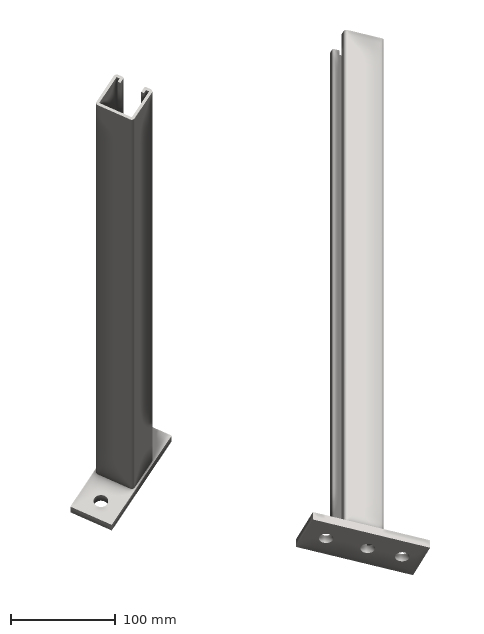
import cadquery as cq

total_height = 608.0

plate_width = 45.0
plate_length = 120.0
plate_thickness = 9.0
hole_diameter = 14.0
hole_positions_y = [-40.0, -5.0, 38.0]

channel_width = 41.5
channel_depth = 41.0
channel_back_y = -14.0
wall = 3.0
lip_opening = 22.5
lip_depth = 7.0
bend_outer_radius = 3.0
lip_bend_radius = 2.0


def make_base_plate():
    """Flat rectangular plate with a row of through holes along Y."""
    plate = cq.Workplane("XY").box(
        plate_width, plate_length, plate_thickness, centered=(True, True, False)
    )
    holes = (
        cq.Workplane("XY")
        .pushPoints([(0, y) for y in hole_positions_y])
        .circle(hole_diameter / 2)
        .extrude(plate_thickness)
    )
    return plate.cut(holes)


def make_box(width, depth, back_y, height):
    """Upright box centred in X, with its back face at back_y and its foot on the plate."""
    return (
        cq.Workplane("XY", origin=(0, back_y + depth / 2, plate_thickness))
        .rect(width, depth)
        .extrude(height)
    )


def make_channel():
    """Constant-section lipped channel standing on the plate."""
    height = total_height - plate_thickness
    outer = make_box(channel_width, channel_depth, channel_back_y, height)
    outer = outer.edges("|Z").fillet(bend_outer_radius)

    inner_back_y = channel_back_y + wall
    inner_depth = channel_depth - 2 * wall
    cavity = make_box(channel_width - 2 * wall, inner_depth, inner_back_y, height)

    lip_end_y = channel_back_y + channel_depth - lip_depth
    lips = make_box(lip_opening + 2 * wall, lip_depth, lip_end_y, height)
    cavity = cavity.cut(lips)
    opening = make_box(lip_opening, lip_depth, lip_end_y, height)
    channel = outer.cut(cavity).cut(opening)

    front_y = channel_back_y + channel_depth
    bend_box = cq.selectors.BoxSelector(
        (-lip_opening / 2 - wall / 2, front_y - wall / 2, -total_height),
        (lip_opening / 2 + wall / 2, front_y + wall / 2, 2 * total_height),
    )
    return channel.edges("|Z").edges(bend_box).fillet(lip_bend_radius)


base_plate = make_base_plate()
channel = make_channel()

result = cq.Compound.makeCompound([base_plate.val(), channel.val()])